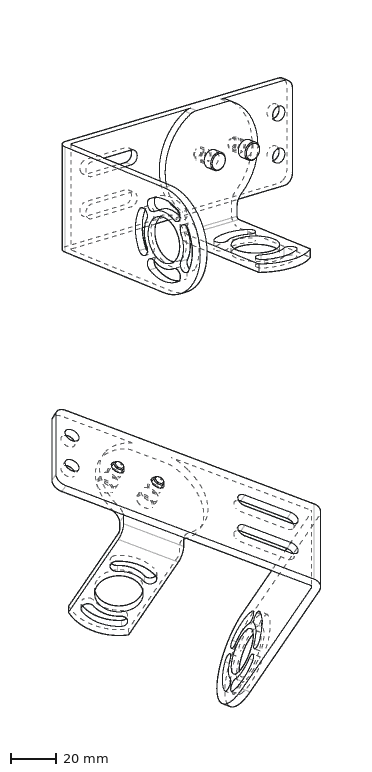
import cadquery as cq
import math

sheet = 4.0
bend_radius = 5.2

bracket_length = 133.9
bracket_height = 50.0
arm_end_radius = bracket_height / 2
arm_length = 98.0
arm_eye_x = arm_length - arm_end_radius
mid_z = bracket_height / 2

wall_corner_radius = 5.0
wall_opening_width = 7.0
wall_opening_spacing = 20.0
wall_hole_edge_distance = 8.0
wall_hole_y = bracket_length - wall_hole_edge_distance
wall_slot_y = 28.3
wall_slot_length = 30.0

pivot_y = 83.2
disc_radius = 27.0
disc_blend_radius = 7.0
tab_width = 30.0
tab_bottom_z = -11.1
tab_eye_x = 38.2
tab_end_radius = 25.0

eye_diameter = 21.5
eye_slot_radius = 16.5
eye_slot_width = 6.0
eye_slot_half_angle = 30.0

bolt_spacing = 20.0
bolt_positions = (pivot_y, pivot_y + bolt_spacing)
bolt_diameter = 5.0
bolt_hole_diameter = 6.4
bolt_tip_projection = 1.7
head_diameter = 8.6
head_height = 5.0
bolt_chamfer = 0.47

select_margin = 1.3


def polar(radius, degrees, center_x):
    angle = math.radians(degrees)
    return (center_x + radius * math.cos(angle), radius * math.sin(angle))


def curved_slot(plane, center_x, direction, depth):
    """Round-ended slot on a circle about (center_x, 0), centred on the given direction."""
    start = direction - eye_slot_half_angle
    end = direction + eye_slot_half_angle
    inner = eye_slot_radius - eye_slot_width / 2
    outer = eye_slot_radius + eye_slot_width / 2
    cap_angle = math.degrees(2 * math.asin(eye_slot_width / 4 / eye_slot_radius))
    return (
        plane.moveTo(*polar(inner, start, center_x))
        .threePointArc(polar(inner, direction, center_x), polar(inner, end, center_x))
        .threePointArc(polar(eye_slot_radius, end + cap_angle, center_x), polar(outer, end, center_x))
        .threePointArc(polar(outer, direction, center_x), polar(outer, start, center_x))
        .threePointArc(polar(eye_slot_radius, start - cap_angle, center_x), polar(inner, start, center_x))
        .close()
        .extrude(depth)
    )


def flange(plane, start_x, width, eye_x, end_radius, slot_directions, depth):
    """Flat strip along local x with an arc-shaped end around its slotted eye."""
    half = width / 2
    shoulder_x = eye_x + math.sqrt(end_radius**2 - half**2)
    strip = (
        plane.moveTo(start_x, -half)
        .lineTo(shoulder_x, -half)
        .threePointArc((eye_x + end_radius, 0), (shoulder_x, half))
        .lineTo(start_x, half)
        .close()
        .extrude(depth)
    )
    strip = strip.cut(plane.center(eye_x, 0).circle(eye_diameter / 2).extrude(depth))
    for direction in slot_directions:
        strip = strip.cut(curved_slot(plane, eye_x, direction, depth))
    return strip


def bend(plane, width):
    """Quarter-ring bend whose outer faces lie on the local axes."""
    diagonal = math.sqrt(0.5)
    inner_radius = bend_radius - sheet
    outer_mid = bend_radius - bend_radius * diagonal
    inner_mid = bend_radius - inner_radius * diagonal
    return (
        plane.moveTo(0, bend_radius)
        .threePointArc((outer_mid, outer_mid), (bend_radius, 0))
        .lineTo(bend_radius, sheet)
        .threePointArc((inner_mid, inner_mid), (sheet, bend_radius))
        .close()
        .extrude(width)
    )


def wall():
    """Upright plate with two round holes, two slots and two bolt clearance holes."""
    plate = (
        cq.Workplane("XY")
        .box(sheet, bracket_length - bend_radius, bracket_height, centered=False)
        .translate((0, bend_radius, 0))
        .edges("|X and >Y")
        .fillet(wall_corner_radius)
    )
    face = cq.Workplane("YZ", origin=(0, 0, mid_z))
    offset = wall_opening_spacing / 2
    holes = face.pushPoints([(wall_hole_y, -offset), (wall_hole_y, offset)])
    slots = face.pushPoints([(wall_slot_y, -offset), (wall_slot_y, offset)])
    bolt_holes = face.pushPoints([(y, 0) for y in bolt_positions])
    return (
        plate.cut(holes.circle(wall_opening_width / 2).extrude(sheet))
        .cut(slots.slot2D(wall_slot_length, wall_opening_width).extrude(sheet))
        .cut(bolt_holes.circle(bolt_hole_diameter / 2).extrude(sheet))
    )


def round_plate():
    """Disc cut flat level with the wall top and blended into the neck of the tab."""
    neck_bottom_z = tab_bottom_z + bend_radius
    disc = cq.Workplane("YZ", origin=(sheet, pivot_y, mid_z)).circle(disc_radius).extrude(sheet)
    above_wall = (
        cq.Workplane("XY", origin=(sheet, pivot_y, bracket_height))
        .rect(4 * sheet, 2 * disc_radius)
        .extrude(disc_radius)
    )
    neck = (
        cq.Workplane("XY", origin=(sheet, pivot_y - tab_width / 2, neck_bottom_z))
        .box(sheet, tab_width, mid_z - neck_bottom_z, centered=False)
    )
    reach = tab_width / 2 + select_margin
    corners = cq.selectors.BoxSelector(
        (0, pivot_y - reach, neck_bottom_z + select_margin),
        (3 * sheet, pivot_y + reach, bracket_height + select_margin),
    )
    return disc.cut(above_wall).union(neck).edges("|X").edges(corners).fillet(disc_blend_radius)


def bolt(y):
    """Cap screw along X: head on the round plate, tip past the outer wall face."""
    head_x = 2 * sheet
    seat = cq.Workplane("YZ", origin=(head_x, y, mid_z))
    head = seat.circle(head_diameter / 2).extrude(head_height).faces(">X").chamfer(bolt_chamfer)
    shank_length = head_x + bolt_tip_projection
    shank = seat.circle(bolt_diameter / 2).extrude(-shank_length).faces("<X").chamfer(bolt_chamfer)
    return head.union(shank)


arm_plane = cq.Workplane("XZ", origin=(0, 0, mid_z))
arm = flange(arm_plane, bend_radius, bracket_height, arm_eye_x, arm_end_radius, (0, 90, 180, 270), -sheet)
arm_bend = bend(cq.Workplane("XY"), bracket_height)

tab_plane = cq.Workplane("XY", origin=(0, pivot_y, tab_bottom_z))
tab = flange(tab_plane, sheet + bend_radius, tab_width, tab_eye_x, tab_end_radius, (0, 180), sheet)
tab_bend = bend(cq.Workplane("XZ", origin=(sheet, pivot_y + tab_width / 2, tab_bottom_z)), tab_width)

result = wall().union(arm_bend).union(arm).union(round_plate()).union(tab_bend).union(tab)
for bolt_y in bolt_positions:
    result = result.union(bolt(bolt_y))